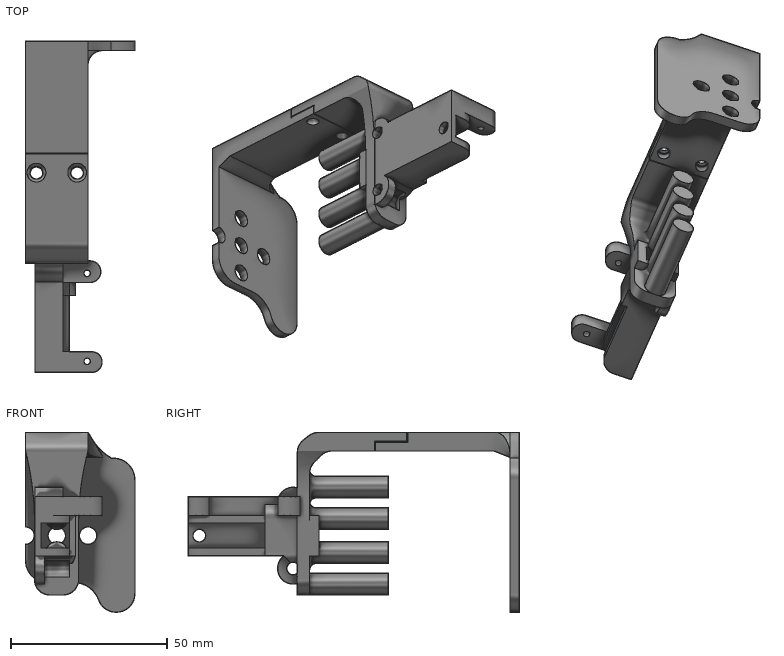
import cadquery as cq
import math


bridge_width = 20.0
bridge_thickness = 6.0
lap_gap = 0.25
lap_upper_y = -35.75
lap_lower_y = -46.0
lap_z = -2.9

screw_x = (3.5, 16.5)
screw_y = -42.0
screw_diameter = 4.0
screw_countersink_diameter = 6.0

plate_thickness = 3.0
plate_right_x = 35.0
plate_bottom_z = -57.52
plate_shoulder_radius = 7.0
plate_shoulder_top_z = -8.2
plate_shoulder_x = 27.4
plate_slope_end = (20.8, -1.3)
plate_slope_mid = (23.6, -5.2)
plate_left_radius = 7.0
plate_left_bottom_z = -48.0
lobe_radius = 6.0
lobe_blend_radius = 8.5
plate_inner_chamfer_y = 5.0
plate_inner_chamfer_z = 2.0
gusset_radius = 4.6
gusset_width = 4.9
gusset_bottom_z = -8.0
plate_hole_diameter = 5.5
plate_hole_pitch = 10.0

wall_front_y = -71.0
wall_thickness = 4.0
wall_rear_y = wall_front_y + wall_thickness
wall_left_x = 2.85
wall_right_x = 17.0
wall_bottom_z = -52.0
wall_bottom_radius = 5.0
taper_bottom_z = -28.0
bend_radius = 5.0
outer_bend_chamfer_y = 5.0
outer_bend_chamfer_z = 4.0
inner_bend_chamfer = 5.0

center_x = bridge_width / 2
center_z = -33.0
pin_diameter = 7.0
pin_end_y = -41.85
pin_root_fillet = 2.0
inner_pin_offset = 5.45
outer_pin_offset = 15.5

arm_left_x = 3.0
arm_end_y = -105.87
arm_half_height = 6.5
arm_right_x = 14.0
arm_end_radius = 5.0
channel_left_x = 5.0
channel_half_height = 4.0
pad_thickness = 3.0
channel_overrun = 0.2
channel_rear_y = wall_rear_y + pad_thickness + channel_overrun
pin_nose_radius = 1.5
rail_right_x = 12.0
rail_thickness = 6.0
rail_bottom_z = center_z + arm_half_height
rail_top_z = rail_bottom_z + rail_thickness
arm_hole_diameter = 4.0
arm_hole_y = -102.3

collar_end_y = -81.3
collar_radius = 6.0
collar_step = 0.25

lug_radius = 5.0
lug_y = -72.3
lug_offset = 10.5
lower_lug_right_x = 6.0
clearance_radius = 3.0

rear_ear_y = (-77.15, -70.15)
rear_ear_tip_x = 24.1
front_ear_y = (arm_end_y, -99.2)
front_ear_tip_x = 24.5
ear_hole_x = 19.7
rear_ear_hole_y = -74.2
front_ear_hole_y = -102.3
ear_hole_diameter = 2.0


def box(x0, x1, y0, y1, z0, z1):
    """Block between pairs of opposite faces."""
    return cq.Workplane("XY").box(x1 - x0, y1 - y0, z1 - z0, centered=False).translate((x0, y0, z0))


def cylinder(start, direction, length, radius):
    """Cylinder from a start point along a direction."""
    solid = cq.Solid.makeCylinder(radius, length, cq.Vector(*start), cq.Vector(*direction))
    return cq.Workplane(obj=solid)


def screw_holes(y):
    """Two vertical screw holes through the bridge."""
    holes = cq.Workplane("XY").pushPoints([(x, y) for x in screw_x])
    return holes.circle(screw_diameter / 2).extrude(-bridge_thickness)


def plate_outline():
    lobe_x = plate_right_x - lobe_radius
    lobe_z = plate_bottom_z + lobe_radius
    blend_z = plate_left_bottom_z - lobe_blend_radius
    center_distance = lobe_radius + lobe_blend_radius
    blend_angle = math.asin((lobe_z - blend_z) / center_distance)
    blend_x = lobe_x - center_distance * math.cos(blend_angle)
    half_angle = (blend_angle + math.pi / 2) / 2
    blend_mid = (
        blend_x + lobe_blend_radius * math.cos(half_angle),
        blend_z + lobe_blend_radius * math.sin(half_angle),
    )
    blend_end = (
        blend_x + lobe_blend_radius * math.cos(blend_angle),
        blend_z + lobe_blend_radius * math.sin(blend_angle),
    )
    shoulder_z = plate_shoulder_top_z - plate_shoulder_radius
    shoulder_center_x = plate_right_x - plate_shoulder_radius
    diagonal = math.sqrt(0.5)
    return (
        cq.Workplane("XZ")
        .moveTo(0, 0)
        .lineTo(bridge_width, 0)
        .lineTo(*plate_slope_end)
        .threePointArc(plate_slope_mid, (plate_shoulder_x, plate_shoulder_top_z))
        .lineTo(shoulder_center_x, plate_shoulder_top_z)
        .threePointArc(
            (
                shoulder_center_x + plate_shoulder_radius * diagonal,
                shoulder_z + plate_shoulder_radius * diagonal,
            ),
            (plate_right_x, shoulder_z),
        )
        .lineTo(plate_right_x, lobe_z)
        .threePointArc((lobe_x, plate_bottom_z), blend_end)
        .threePointArc(blend_mid, (blend_x, plate_left_bottom_z))
        .lineTo(plate_left_radius, plate_left_bottom_z)
        .threePointArc(
            (
                plate_left_radius * (1 - diagonal),
                plate_left_bottom_z + plate_left_radius * (1 - diagonal),
            ),
            (0, plate_left_bottom_z + plate_left_radius),
        )
        .close()
    )


def plate_holes():
    """Cross of five holes; the left one breaks out of the plate edge."""
    offsets = [(0, 0), (1, 0), (-1, 0), (0, 1), (0, -1)]
    points = [(center_x + i * plate_hole_pitch, center_z + j * plate_hole_pitch) for i, j in offsets]
    return cq.Workplane("XZ").pushPoints(points).circle(plate_hole_diameter / 2).extrude(plate_thickness)


def corner_gusset():
    """Concave web between the right side of the bridge and the plate, sloping away to the right."""
    x0 = bridge_width
    y0 = -plate_thickness
    bend = gusset_radius * (1 - math.sqrt(0.5))
    web = (
        cq.Workplane("XY")
        .moveTo(x0, y0)
        .lineTo(x0 + gusset_radius, y0)
        .threePointArc((x0 + bend, y0 - bend), (x0, y0 - gusset_radius))
        .close()
        .extrude(gusset_bottom_z)
    )
    slope = (
        cq.Workplane("XZ", origin=(0, y0, 0))
        .polyline([(x0, 0), (x0 + gusset_width, gusset_bottom_z), (x0, gusset_bottom_z)])
        .close()
        .extrude(gusset_radius)
    )
    return web.intersect(slope).intersect(rear_bridge(plate_right_x))


def rear_bridge(length):
    """Rear half of the bridge with its lower lap tongue, sloping into the plate."""
    inner_y = -plate_thickness
    return (
        cq.Workplane("YZ")
        .polyline([
            (0, 0),
            (lap_upper_y, 0),
            (lap_upper_y, lap_z - lap_gap),
            (lap_lower_y, lap_z - lap_gap),
            (lap_lower_y, -bridge_thickness),
            (inner_y - plate_inner_chamfer_y, -bridge_thickness),
            (inner_y, -bridge_thickness - plate_inner_chamfer_z),
            (0, -bridge_thickness - plate_inner_chamfer_z),
        ])
        .close()
        .extrude(length)
    )


def build_rear_bracket():
    body = plate_outline().extrude(plate_thickness).cut(plate_holes())
    body = body.union(rear_bridge(bridge_width)).union(corner_gusset())
    return body.cut(screw_holes(screw_y - lap_gap))


def bent_strip():
    """Front half of the bridge, bent down into the wall."""
    strip = (
        cq.Workplane("YZ")
        .polyline([
            (lap_upper_y - lap_gap, 0),
            (wall_front_y + outer_bend_chamfer_y, 0),
            (wall_front_y, -outer_bend_chamfer_z),
            (wall_front_y, wall_bottom_z),
            (wall_rear_y, wall_bottom_z),
            (wall_rear_y, -bridge_thickness - inner_bend_chamfer),
            (wall_rear_y + inner_bend_chamfer, -bridge_thickness),
            (lap_lower_y - lap_gap, -bridge_thickness),
            (lap_lower_y - lap_gap, lap_z),
            (lap_upper_y - lap_gap, lap_z),
        ])
        .close()
        .extrude(bridge_width)
    )
    bend_corners = [
        (wall_front_y + outer_bend_chamfer_y, 0),
        (wall_front_y, -outer_bend_chamfer_z),
        (wall_rear_y, -bridge_thickness - inner_bend_chamfer),
        (wall_rear_y + inner_bend_chamfer, -bridge_thickness),
    ]
    for y, z in bend_corners:
        corner = cq.selectors.NearestToPointSelector((center_x, y, z))
        strip = strip.edges("|X").edges(corner).fillet(bend_radius)
    return strip


def wall_outline():
    """Full width at the bridge, narrowing along arcs that end tangent to the straight sides."""
    taper_top_z = -bridge_thickness
    taper_height = taper_top_z - taper_bottom_z
    taper_mid_z = taper_bottom_z + taper_height / 2
    mid_share = 0.75
    left_mid_x = wall_left_x * mid_share
    right_mid_x = bridge_width - (bridge_width - wall_right_x) * mid_share
    outline = (
        cq.Workplane("XZ", origin=(0, lap_upper_y, 0))
        .moveTo(0, 0)
        .lineTo(bridge_width, 0)
        .lineTo(bridge_width, taper_top_z)
        .threePointArc((right_mid_x, taper_mid_z), (wall_right_x, taper_bottom_z))
        .lineTo(wall_right_x, wall_bottom_z)
        .lineTo(wall_left_x, wall_bottom_z)
        .lineTo(wall_left_x, taper_bottom_z)
        .threePointArc((left_mid_x, taper_mid_z), (0, taper_top_z))
        .close()
        .extrude(lap_upper_y - wall_front_y)
    )
    return outline.edges("|Y and <Z").fillet(wall_bottom_radius)


def pin(z):
    return cylinder((center_x, wall_rear_y, z), (0, 1, 0), pin_end_y - wall_rear_y, pin_diameter / 2)


def pin_root(z):
    """Concave flare where a pin meets the wall."""
    pin_radius = pin_diameter / 2
    bend = pin_root_fillet * (1 - math.sqrt(0.5))
    return (
        cq.Workplane("XY")
        .moveTo(0, 0)
        .lineTo(pin_radius + pin_root_fillet, 0)
        .threePointArc((pin_radius + bend, bend), (pin_radius, pin_root_fillet))
        .lineTo(0, pin_root_fillet)
        .close()
        .revolve(360, (0, 0, 0), (0, 1, 0))
        .translate((center_x, wall_rear_y, z))
    )


def pin_nose(z):
    """Tapered front end of a pin that shows in the channel mouth."""
    cone = cq.Solid.makeCone(
        pin_nose_radius,
        pin_diameter / 2,
        channel_rear_y - wall_rear_y,
        cq.Vector(center_x, wall_rear_y, z),
        cq.Vector(0, 1, 0),
    )
    return cq.Workplane(obj=cone)


def arm_channel():
    """Outer block of the channel, its free end rounded on the open side."""
    block = box(
        arm_left_x, arm_right_x, arm_end_y, wall_front_y,
        center_z - arm_half_height, center_z + arm_half_height,
    )
    return block.edges("|Z and >X and <Y").fillet(arm_end_radius)


def collar():
    """Oblong sleeve around the arm; below the arm only a sloping remnant stays at the wall."""
    sleeve = (
        cq.Workplane("XZ", origin=(center_x, wall_front_y, center_z))
        .slot2D(2 * (inner_pin_offset + collar_radius), 2 * collar_radius, 90)
        .extrude(wall_front_y - collar_end_y)
    )
    arm_bottom_z = center_z - arm_half_height
    slope_y = lug_y - math.sqrt(lug_radius**2 - (center_z - lug_offset - arm_bottom_z) ** 2)
    below = (
        cq.Workplane("YZ")
        .polyline([
            (slope_y, arm_bottom_z),
            (wall_front_y, arm_bottom_z + slope_y - wall_front_y),
            (wall_front_y, wall_bottom_z),
            (collar_end_y, wall_bottom_z),
            (collar_end_y, arm_bottom_z),
        ])
        .close()
        .extrude(wall_right_x)
    )
    above = box(arm_left_x, arm_right_x, collar_end_y, wall_front_y, rail_bottom_z + collar_step, 0)
    sleeve = sleeve.cut(below).cut(above)
    return sleeve.cut(cross_hole(lug_y, center_z - lug_offset, wall_right_x))


def ear(y_range, tip_x):
    """Flat ear reaching out in +X with a rounded tip."""
    y0, y1 = y_range
    radius = (y1 - y0) / 2
    straight = box(arm_left_x, tip_x - radius, y0, y1, rail_bottom_z, rail_top_z)
    tip = cylinder((tip_x - radius, (y0 + y1) / 2, rail_bottom_z), (0, 0, 1), rail_thickness, radius)
    return straight.union(tip)


def ear_hole(y):
    return cylinder((ear_hole_x, y, rail_bottom_z), (0, 0, 1), rail_thickness, ear_hole_diameter / 2)


def cross_hole(y, z, x_end):
    """Hole bored in +X from the left side."""
    return cylinder((0, y, z), (1, 0, 0), x_end, arm_hole_diameter / 2)


def build_front_bracket():
    body = bent_strip().intersect(wall_outline())
    pin_offsets = (-outer_pin_offset, -inner_pin_offset, inner_pin_offset, outer_pin_offset)
    for offset in pin_offsets:
        body = body.union(pin(center_z + offset))
    for offset in pin_offsets[1:]:
        body = body.union(pin_root(center_z + offset))

    pad = box(
        arm_left_x, wall_right_x, wall_rear_y, wall_rear_y + pad_thickness,
        center_z - arm_half_height, center_z + arm_half_height,
    )
    body = body.union(pad).union(collar()).union(arm_channel())

    upper_lug_z = center_z + lug_offset
    lower_lug_z = center_z - lug_offset
    clearance = cylinder(
        (lower_lug_right_x, lug_y, lower_lug_z), (1, 0, 0), arm_right_x - lower_lug_right_x, clearance_radius
    )
    body = body.cut(clearance)

    rail = box(arm_left_x, rail_right_x, arm_end_y, wall_front_y, rail_bottom_z, rail_top_z)
    body = body.union(rail)
    for lug_z, right_x in ((upper_lug_z, rail_right_x), (lower_lug_z, lower_lug_right_x)):
        lug = cylinder((arm_left_x, lug_y, lug_z), (1, 0, 0), right_x - arm_left_x, lug_radius)
        behind = box(arm_left_x, right_x, wall_rear_y, wall_rear_y + lug_radius, wall_bottom_z, 0)
        body = body.union(lug.cut(behind))
    body = body.union(ear(rear_ear_y, rear_ear_tip_x)).union(ear(front_ear_y, front_ear_tip_x))

    channel = box(
        channel_left_x, arm_right_x, arm_end_y, channel_rear_y,
        center_z - channel_half_height, center_z + channel_half_height,
    )
    body = body.cut(channel)
    for offset in (-inner_pin_offset, inner_pin_offset):
        body = body.union(pin_nose(center_z + offset))
    body = body.cut(ear_hole(rear_ear_hole_y)).cut(ear_hole(front_ear_hole_y))
    body = body.cut(cross_hole(arm_hole_y, center_z, arm_right_x))
    body = body.cut(cross_hole(lug_y, upper_lug_z, rail_right_x))
    body = body.cut(cross_hole(lug_y, lower_lug_z, arm_right_x))

    body = body.cut(screw_holes(screw_y))
    sink_depth = (screw_countersink_diameter - screw_diameter) / 2
    for x in screw_x:
        sink = cq.Solid.makeCone(
            screw_diameter / 2, screw_countersink_diameter / 2, sink_depth, cq.Vector(x, screw_y, -sink_depth)
        )
        body = body.cut(cq.Workplane(obj=sink))
    return body


rear_bracket = build_rear_bracket()
front_bracket = build_front_bracket()
result = cq.Compound.makeCompound([rear_bracket.val(), front_bracket.val()])